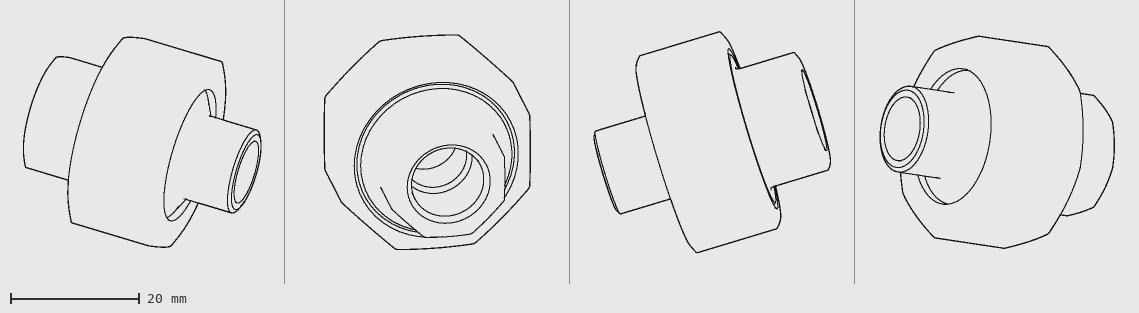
import cadquery as cq
import math


overall_length = 34.0
collar_length = 10.0
nut_length = 14.52
nut_end = collar_length + nut_length
nut_shoulder_thickness = 3.05
shoulder_x = nut_end - nut_shoulder_thickness
flange_thickness = 3.05
seat_x = shoulder_x - flange_thickness

nut_across_flats = 30.0
nut_corner_radius = 1.0
nut_bevel_diameter = 29.3
nut_rim_radius = 0.3
nut_bore_diameter = 25.0
nut_hole_diameter = 21.3
nut_countersink_depth = 0.5

collar_across_flats = 17.92
collar_corner_radius = 0.5
collar_bevel_diameter = 17.1
collar_rim_radius = 0.2
collar_foot_radius = 0.5
plug_chamfer = 0.5
thread_bore_diameter = 11.45
thread_mouth_diameter = 13.15
thread_bore_depth = 10.2
bore_bottom_angle = 45.0

tail_pipe_diameter = 13.5
tail_flange_diameter = 24.38
tail_hub_diameter = 21.0
tail_cone_end_diameter = 16.9
tail_cone_fillet = 0.3
weld_bevel_depth = 0.68

passage_diameter = 10.0
bevel_angle = 25.0
tail_cone_angle = 30.0
octagon_sides = 8


def revolve_profile(points):
    """Revolve a closed outline of (x, radius) points about the X axis."""
    return cq.Workplane("XY").polyline(points).close().revolve(360, (0, 0, 0), (1, 0, 0))


def cylinder(start, end, diameter):
    return cq.Workplane("YZ", origin=(start, 0, 0)).circle(diameter / 2).extrude(end - start)


def octagon_bar(start, end, across_flats, corner_radius):
    """Octagonal bar along X with two flats facing up and down and rounded long corners."""
    bar = (
        cq.Workplane("YZ", origin=(start, 0, 0))
        .polygon(octagon_sides, across_flats, circumscribed=True)
        .extrude(end - start)
    )
    return bar.edges("|X").fillet(corner_radius)


def bevel_envelope(start, end, face_diameter, outer_radius, bevel_far_end):
    """Round body whose conical ends cut the corners of an octagonal bar."""
    face_radius = face_diameter / 2
    bevel_length = (outer_radius - face_radius) * math.tan(math.radians(bevel_angle))
    outline = [(start, 0), (start, face_radius), (start + bevel_length, outer_radius)]
    if bevel_far_end:
        outline += [(end - bevel_length, outer_radius), (end, face_radius), (end, 0)]
    else:
        outline += [(end, outer_radius), (end, 0)]
    return revolve_profile(outline)


def bevelled_octagon(start, end, across_flats, corner_radius, bevel_diameter, rim_radius, bevel_far_end):
    """Octagonal bar with bevelled corners and softened edges all around the bevels."""
    bar = octagon_bar(start, end, across_flats, corner_radius)
    sharp_corner_radius = across_flats / 2 / math.cos(math.pi / octagon_sides)
    envelope = bevel_envelope(start, end, bevel_diameter, sharp_corner_radius, bevel_far_end)
    body = bar.intersect(envelope)
    return body.faces("%CONE").edges().fillet(rim_radius)


def make_nut():
    nut = bevelled_octagon(
        collar_length, nut_end, nut_across_flats, nut_corner_radius, nut_bevel_diameter, nut_rim_radius, True
    )
    nut = nut.cut(cylinder(collar_length, shoulder_x, nut_bore_diameter))
    nut = nut.cut(cylinder(shoulder_x, nut_end, nut_hole_diameter))
    bore_radius = nut_bore_diameter / 2
    countersink = revolve_profile([
        (collar_length, 0),
        (collar_length, bore_radius + nut_countersink_depth),
        (collar_length + nut_countersink_depth, bore_radius),
        (collar_length + nut_countersink_depth, 0),
    ])
    return nut.cut(countersink)


def make_thread_bore():
    """Countersunk thread bore with a conical bottom that runs into the passage."""
    mouth_radius = thread_mouth_diameter / 2
    bore_radius = thread_bore_diameter / 2
    passage_radius = passage_diameter / 2
    mouth_depth = mouth_radius - bore_radius
    bottom_depth = (bore_radius - passage_radius) / math.tan(math.radians(bore_bottom_angle))
    return revolve_profile([
        (0, 0),
        (0, mouth_radius),
        (mouth_depth, bore_radius),
        (thread_bore_depth, bore_radius),
        (thread_bore_depth + bottom_depth, passage_radius),
        (seat_x, passage_radius),
        (seat_x, 0),
    ])


def make_end_piece():
    collar = bevelled_octagon(
        0, collar_length, collar_across_flats, collar_corner_radius, collar_bevel_diameter,
        collar_rim_radius, False
    )
    plug = cylinder(collar_length, seat_x, nut_bore_diameter).faces("<X").chamfer(plug_chamfer)
    body = collar.union(plug)
    plug_face = body.faces("<X[1]")
    foot_edges = plug_face.val().innerWires()[0].Edges()
    body = body.newObject(foot_edges).fillet(collar_foot_radius)
    return body.cut(make_thread_bore())


def make_weld_tail():
    pipe_radius = tail_pipe_diameter / 2
    hub_radius = tail_hub_diameter / 2
    slope = math.tan(math.radians(tail_cone_angle))
    cone_start = nut_end - (hub_radius - tail_cone_end_diameter / 2) * slope
    cone_end = nut_end + (tail_cone_end_diameter / 2 - pipe_radius) * slope
    tail = revolve_profile([
        (seat_x, 0),
        (seat_x, tail_flange_diameter / 2),
        (shoulder_x, tail_flange_diameter / 2),
        (shoulder_x, hub_radius),
        (cone_start, hub_radius),
        (cone_end, pipe_radius),
        (overall_length - weld_bevel_depth * slope, pipe_radius),
        (overall_length, pipe_radius - weld_bevel_depth),
        (overall_length, 0),
    ])
    cone_foot = cq.NearestToPointSelector((cone_end, 0, 0))
    tail = tail.edges(cone_foot).fillet(tail_cone_fillet)
    return tail.cut(cylinder(seat_x, overall_length, passage_diameter))


nut = make_nut()
end_piece = make_end_piece()
weld_tail = make_weld_tail()

result = cq.Compound.makeCompound([nut.val(), end_piece.val(), weld_tail.val()])